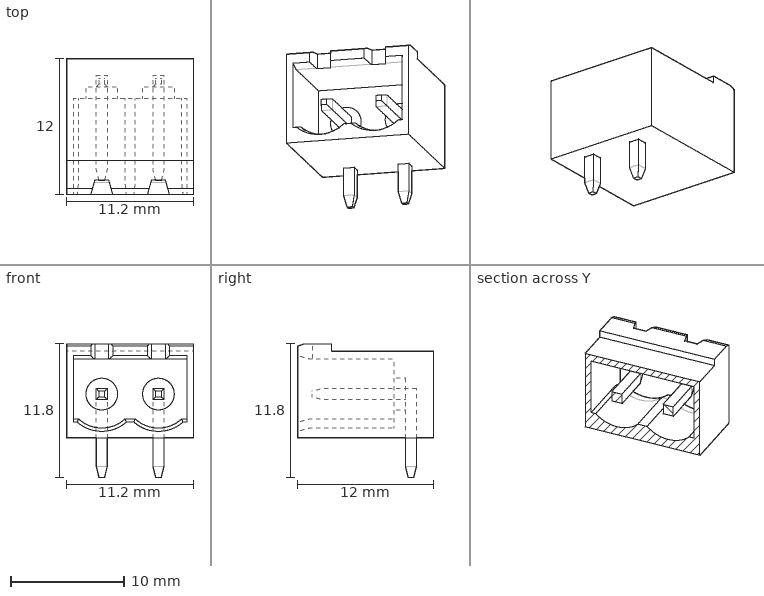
import cadquery as cq
import math


pole_count = 2
pitch = 5.0
pole_xs = [(i - (pole_count - 1) / 2) * pitch for i in range(pole_count)]
pole_z = 3.87

side_wall = 0.6
cavity_width = pole_count * pitch
housing_width = cavity_width + 2 * side_wall
housing_depth = 12.0
housing_height = 8.3
latch_depth = 3.0
latch_rise = 0.65
nose_depth = 0.55
nose_angle = 20.0
nose_drop = nose_depth * math.tan(math.radians(nose_angle))

cavity_depth = 8.5
floor_z = 1.68
ceiling_z = 6.96
trough_radius = 3.0
flare_depth = 1.1
flare_angle = 15.0
flare_height = flare_depth * math.tan(math.radians(flare_angle))

notch_depth = 1.3
notch_mouth_width = 1.94
notch_end_width = 1.22

pin_size = 1.0
pin_tip_size = 0.5
pin_taper = 1.0
contact_tip_y = 1.25
solder_pin_reach = 3.5
solder_pin_setback = 2.0
solder_pin_y = housing_depth - solder_pin_setback
solder_pin_front_y = solder_pin_y - pin_size / 2

bushing_diameter = 2.8
bushing_length = solder_pin_front_y - cavity_depth


def extrude_side_profile(points, width):
    """Prism centred on X = 0 from an outline given as (y, z) points."""
    return cq.Workplane("YZ").polyline(points).close().extrude(width / 2, both=True)


def make_outer_block():
    """Housing block with the raised latch lip and its sloped nose."""
    body_top = housing_height - latch_rise
    profile = [
        (0, 0),
        (housing_depth, 0),
        (housing_depth, body_top),
        (latch_depth, body_top),
        (latch_depth, housing_height),
        (nose_depth, housing_height),
        (0, housing_height - nose_drop),
    ]
    return extrude_side_profile(profile, housing_width)


def make_trough(x):
    """Round trough below the contact, widening as a cone towards the open face."""
    mouth_radius = trough_radius + flare_height
    trough_profile = [
        (0, 0),
        (mouth_radius, 0),
        (trough_radius, flare_depth),
        (trough_radius, cavity_depth),
        (0, cavity_depth),
    ]
    trough = cq.Workplane("XY").polyline(trough_profile).close().revolve(360, (0, 0), (0, 1))
    lower_half = (
        cq.Workplane("XY")
        .box(2 * mouth_radius, cavity_depth, mouth_radius, centered=(True, False, False))
        .translate((0, 0, -mouth_radius))
    )
    return trough.intersect(lower_half).translate((x, 0, pole_z))


def make_cavity():
    """Space for the mating plug: flared slot plus one trough per pole."""
    profile = [
        (0, floor_z - flare_height),
        (flare_depth, floor_z),
        (cavity_depth, floor_z),
        (cavity_depth, ceiling_z),
        (flare_depth, ceiling_z),
        (0, ceiling_z + flare_height),
    ]
    cavity = extrude_side_profile(profile, cavity_width)
    for x in pole_xs:
        cavity = cavity.union(make_trough(x))
    between_side_walls = cq.Workplane("XY").box(
        cavity_width, cavity_depth, housing_height, centered=(True, False, False)
    )
    return cavity.intersect(between_side_walls)


def make_notch(x):
    """Tapered coding notch from the cavity up through the latch lip."""
    outline = [
        (x - notch_mouth_width / 2, 0),
        (x + notch_mouth_width / 2, 0),
        (x + notch_end_width / 2, notch_depth),
        (x - notch_end_width / 2, notch_depth),
    ]
    notch = cq.Workplane("XY").workplane(offset=pole_z).polyline(outline).close()
    return notch.extrude(housing_height - pole_z)


def make_pin(length):
    """Square pin along +Z with the tip of its taper at the origin."""
    taper = (
        cq.Workplane("XY")
        .rect(pin_tip_size, pin_tip_size)
        .workplane(offset=pin_taper)
        .rect(pin_size, pin_size)
        .loft(ruled=True)
    )
    shank = cq.Workplane("XY").workplane(offset=pin_taper).rect(pin_size, pin_size)
    return taper.union(shank.extrude(length - pin_taper))


def make_contact(x):
    """Horizontal contact, from the cavity back to the solder pin."""
    contact = make_pin(solder_pin_front_y - contact_tip_y)
    return contact.rotate((0, 0, 0), (1, 0, 0), -90).translate((x, contact_tip_y, pole_z))


def make_solder_pin(x):
    """Vertical solder pin, from below the housing up to the top of the contact."""
    solder_pin = make_pin(solder_pin_reach + pole_z + pin_size / 2)
    return solder_pin.translate((x, solder_pin_y, -solder_pin_reach))


def make_bushing_plug(x):
    """Solid round plug filling the bushing's seat, flush with the cavity's rear wall."""
    plug = cq.Workplane("XZ").circle(bushing_diameter / 2).extrude(-bushing_length)
    return plug.translate((x, cavity_depth, pole_z))


contacts = [make_contact(x) for x in pole_xs]
solder_pins = [make_solder_pin(x) for x in pole_xs]
plugs = [make_bushing_plug(x) for x in pole_xs]
bushings = [plug.cut(contact) for plug, contact in zip(plugs, contacts)]

housing = make_outer_block().cut(make_cavity())
for x in pole_xs:
    housing = housing.cut(make_notch(x))
for insert in plugs + solder_pins:
    housing = housing.cut(insert)

bodies = [housing] + contacts + bushings + solder_pins
result = cq.Compound.makeCompound([body.solids().val() for body in bodies])